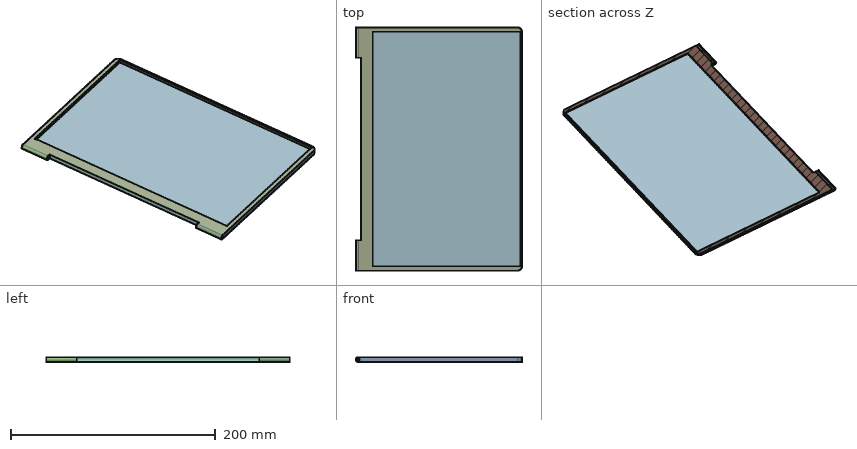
import cadquery as cq

length_x = 162.5
width_y = 238.0
thickness = 5.0

barrel_radius = thickness / 2
knuckle_width = 30.0
notch_depth = 5.0
pin_hole_diameter = 2.0
pin_hole_depth = knuckle_width

corner_radius = 5.0

recess_left_margin = 16.5
recess_right_margin = 2.0
recess_side_margin = 4.5
recess_depth = 3.0

notch_width = width_y - 2 * knuckle_width
barrel_x = barrel_radius
relief_radius = ((notch_depth - barrel_x) ** 2 + barrel_radius**2) ** 0.5


def make_plate():
    """Flat plate with a rounded hinge edge and two rounded far corners."""
    plate = (
        cq.Workplane("XY")
        .box(length_x, width_y, thickness, centered=(False, True, True))
        .edges("|Z and >X")
        .fillet(corner_radius)
    )
    barrel = (
        cq.Workplane("XZ", origin=(barrel_x, 0, 0))
        .circle(barrel_radius)
        .extrude(width_y / 2, both=True)
    )
    square_edge = cq.Workplane("XY").box(
        barrel_x, width_y, thickness, centered=(False, True, True)
    )
    return plate.cut(square_edge).union(barrel)


def make_notch():
    """Gap between the knuckles, ending in a concave hinge relief."""
    gap = cq.Workplane("XY").box(
        notch_depth, notch_width, thickness, centered=(False, True, True)
    )
    relief = (
        cq.Workplane("XZ", origin=(barrel_x, 0, 0))
        .circle(relief_radius)
        .extrude(notch_width / 2, both=True)
    )
    return gap.union(relief)


def make_pin_hole(end):
    """Pin hole running inward from the outer end of one knuckle (end is -1 or 1)."""
    return (
        cq.Workplane("XZ", origin=(barrel_x, end * width_y / 2, 0))
        .circle(pin_hole_diameter / 2)
        .extrude(end * pin_hole_depth)
    )


def make_recess():
    """Rectangular recess, open at the top face."""
    recess_length = length_x - recess_left_margin - recess_right_margin
    recess_width = width_y - 2 * recess_side_margin
    return cq.Workplane("XY", origin=(recess_left_margin, 0, thickness / 2 - recess_depth)).box(
        recess_length, recess_width, recess_depth, centered=(False, True, False)
    )


result = make_plate().cut(make_notch()).cut(make_recess())
for knuckle_end in (-1, 1):
    result = result.cut(make_pin_hole(knuckle_end))